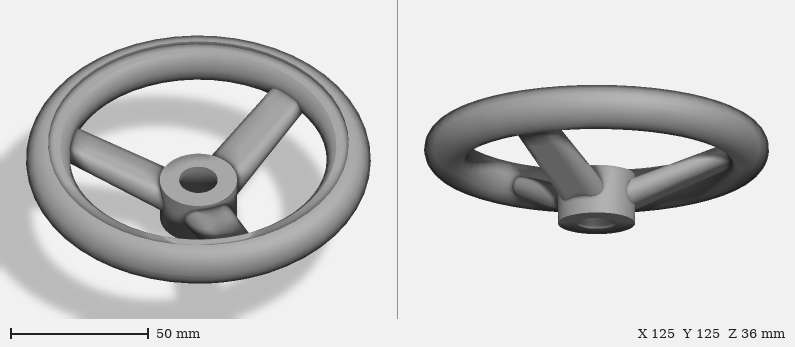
import cadquery as cq
import math

outer_radius = 62.5
rim_section_radius = 8.0
rim_center_radius = outer_radius - rim_section_radius
rebate_inner_radius = 50.0

hub_radius = 14.0
hub_height = 18.0
bore_radius = 7.0
hub_to_rim_gap = 2.0
rim_center_z = hub_height + hub_to_rim_gap + rim_section_radius

spoke_count = 3
first_spoke_angle = 90.0
spoke_flat_width = 8.8
spoke_hub_edge_radius = 4.5
spoke_rim_edge_radius = 3.1
spoke_start_radius = 10.0
spoke_start_z = 9.6
spoke_end_radius = rim_center_radius
spoke_end_z = 28.6


def make_rim():
    ring = (
        cq.Workplane("XZ")
        .center(rim_center_radius, rim_center_z)
        .circle(rim_section_radius)
        .revolve(360, (-rim_center_radius, 0), (-rim_center_radius, 1))
    )
    floor_offset = rim_center_radius - rebate_inner_radius
    floor_z = rim_center_z + math.sqrt(rim_section_radius**2 - floor_offset**2)
    rebate = (
        cq.Workplane("XY", origin=(0, 0, floor_z))
        .circle(rim_center_radius)
        .extrude(rim_section_radius)
    )
    return ring.cut(rebate)


def make_hub():
    return cq.Workplane("XY").circle(hub_radius).circle(bore_radius).extrude(hub_height)


def make_spoke():
    """Spoke rising outward along +X, lofted between two rounded-end sections."""
    run = spoke_end_radius - spoke_start_radius
    rise = spoke_end_z - spoke_start_z
    section_plane = cq.Plane(
        origin=(spoke_start_radius, 0, spoke_start_z),
        xDir=(0, 1, 0),
        normal=(run, 0, rise),
    )
    return (
        cq.Workplane(section_plane)
        .slot2D(spoke_flat_width + 2 * spoke_hub_edge_radius, 2 * spoke_hub_edge_radius)
        .workplane(offset=math.hypot(run, rise))
        .slot2D(spoke_flat_width + 2 * spoke_rim_edge_radius, 2 * spoke_rim_edge_radius)
        .loft(ruled=True, combine=True)
    )


result = make_rim().union(make_hub())
spoke = make_spoke()
for index in range(spoke_count):
    angle = first_spoke_angle + index * 360.0 / spoke_count
    result = result.union(spoke.rotate((0, 0, 0), (0, 0, 1), angle))